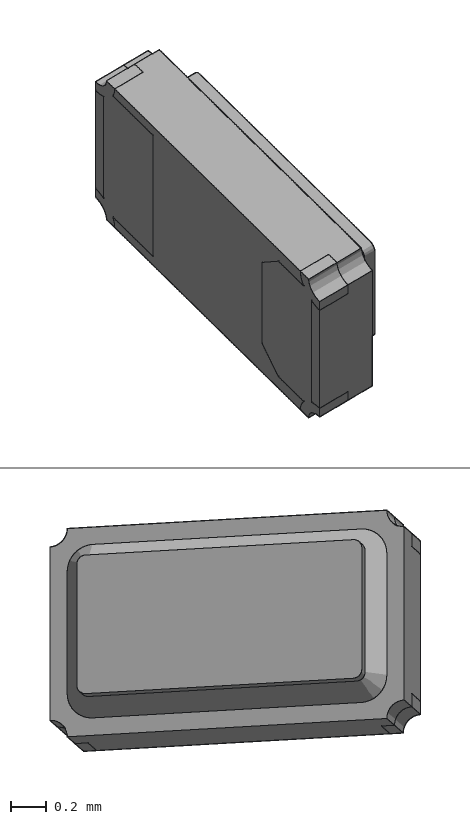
import cadquery as cq

WIDTH = 2.05
HEIGHT = 1.2
TOTAL_DEPTH = 0.55
NOTCH_RADIUS = 0.1

LID_SKIRT_DEPTH = 0.1
LID_PLATE_DEPTH = 0.074
LID_PLATE_CORNER_RADIUS = 0.05
SKIRT_EDGE_INSET = NOTCH_RADIUS
BASE_DEPTH = TOTAL_DEPTH - LID_SKIRT_DEPTH - LID_PLATE_DEPTH

ELECTRODE_DEPTH = 0.2
METAL_MARGIN = 0.075
RING_RADIUS = NOTCH_RADIUS + METAL_MARGIN
PAD_REACH = 0.527
LEFT_PAD_HEIGHT = HEIGHT - 2 * METAL_MARGIN
RIGHT_PAD_HEIGHT = HEIGHT - 2 * NOTCH_RADIUS
PAD_CHAMFER = 0.15


def plane_at(depth):
    """Plane parallel to the mounting face, facing +Y, with local y along Z."""
    return cq.Plane(origin=(0, depth, 0), xDir=(-1, 0, 0), normal=(0, 1, 0))


def block(width, height, depth, start=0.0):
    return cq.Workplane(plane_at(start)).rect(width, height).extrude(depth)


def corner_cylinders(radius, depth, sides):
    """Cylinders along Y on the upper and lower corners of the given X sides."""
    corners = [(-side * WIDTH / 2, end * HEIGHT / 2) for side in sides for end in (-1, 1)]
    return cq.Workplane(plane_at(0)).pushPoints(corners).circle(radius).extrude(depth)


def rounded_outline(depth, inset, corner_radius):
    sketch = cq.Sketch().rect(WIDTH - 2 * inset, HEIGHT - 2 * inset).vertices().fillet(corner_radius)
    return cq.Workplane(plane_at(depth)).placeSketch(sketch)


def make_base():
    base = block(WIDTH, HEIGHT, BASE_DEPTH)
    return base.cut(corner_cylinders(NOTCH_RADIUS, BASE_DEPTH, (-1, 1)))


def make_lid():
    """45-degree skirt topped by a straight plate; the corner centres stay aligned."""
    plate_inset = SKIRT_EDGE_INSET + LID_SKIRT_DEPTH
    plate_start = BASE_DEPTH + LID_SKIRT_DEPTH
    plate = rounded_outline(plate_start, plate_inset, LID_PLATE_CORNER_RADIUS).extrude(LID_PLATE_DEPTH)
    skirt_radius = LID_PLATE_CORNER_RADIUS + LID_SKIRT_DEPTH
    skirt_outline = rounded_outline(BASE_DEPTH, SKIRT_EDGE_INSET, skirt_radius)
    skirt = skirt_outline.extrude(LID_SKIRT_DEPTH, taper=45)
    return skirt.union(plate)


def make_pad(side, height):
    length = PAD_REACH - METAL_MARGIN
    centre_x = side * (WIDTH / 2 - (PAD_REACH + METAL_MARGIN) / 2)
    return block(length, height, ELECTRODE_DEPTH).translate((centre_x, 0, 0))


def make_electrode(pad, side):
    """Join a pad to the ring sectors of its two corners, flush with the housing."""
    rings = corner_cylinders(RING_RADIUS, ELECTRODE_DEPTH, (side,))
    rings = rings.intersect(block(WIDTH, HEIGHT, ELECTRODE_DEPTH))
    notches = corner_cylinders(NOTCH_RADIUS, ELECTRODE_DEPTH, (side,))
    return pad.union(rings).cut(notches)


left_electrode = make_electrode(make_pad(-1, LEFT_PAD_HEIGHT), -1)

right_pad = make_pad(1, RIGHT_PAD_HEIGHT).faces("<X").edges("|Y").chamfer(PAD_CHAMFER)
right_electrode = make_electrode(right_pad, 1)

housing = make_base().union(make_lid()).cut(left_electrode).cut(right_electrode)

bodies = (housing, left_electrode, right_electrode)
result = cq.Compound.makeCompound([body.solids().val() for body in bodies])